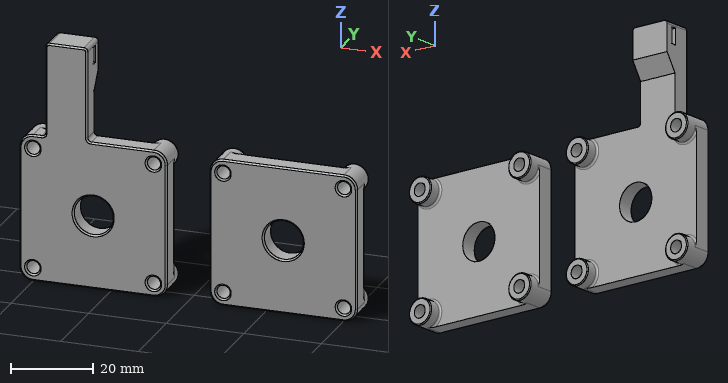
import cadquery as cq
import math

plate_side = 38.0
plate_thickness = 5.0
overall_length = 87
plate_pitch = overall_length - plate_side
front_chamfer = 0.4

post_diameter = 7
post_back = 8.5
post_chamfer = 0.3
foot_radius = 0.5
corner_radius = post_diameter / 2
post_offset = plate_side / 2 - corner_radius
post_places = [(x, z) for x in (-post_offset, post_offset) for z in (-post_offset, post_offset)]

screw_diameter = 3.4
bore_diameter = 10.0
hole_chamfer = 0.4

arm_width = 10.8
arm_center = 12.1 - plate_side / 2
arm_height = 24.3
arm_head_back = 8.0
head_height = 8.2
taper_height = 4.7
arm_radius = 1.0
selection_margin = 0.1
plate_top = plate_side / 2
arm_top = plate_top + arm_height

slot_width = 1.4
slot_height = 4.3
slot_center_y = 5.4
slot_drop = 1.4


def front_plane(y=0):
    """XZ workplane at the given Y; a negative extrusion runs towards +Y."""
    return cq.Workplane("XZ", origin=(0, y, 0))


def back_relief():
    """Cross-shaped cutter that leaves the corner posts, rounded where it meets the posts' feet."""
    outer = plate_side
    diagonal = post_offset - corner_radius * math.sqrt(0.5)
    cross = front_plane(plate_thickness).moveTo(-post_offset, outer)
    for turn in range(4):
        quarter = [
            (post_offset, outer),
            (post_offset, plate_side / 2),
            (diagonal, diagonal),
            (plate_side / 2, post_offset),
            (outer, post_offset),
        ]
        for _ in range(turn):
            quarter = [(z, -x) for x, z in quarter]
        end_corner, post_start, post_middle, post_end, next_corner = quarter
        cross = cross.lineTo(*end_corner).lineTo(*post_start)
        cross = cross.threePointArc(post_middle, post_end).lineTo(*next_corner)
    relief = cross.close().extrude(plate_thickness - 2 * post_back)
    return relief.faces("<Y").edges("%CIRCLE").fillet(foot_radius)


def plate_blank():
    """Rounded square plate with a post rising from each corner of its back face."""
    block = (
        front_plane()
        .rect(plate_side, plate_side)
        .extrude(-post_back)
        .edges("|Y")
        .fillet(corner_radius)
    )
    return block.cut(back_relief()).faces(">Y").chamfer(post_chamfer)


def arm_blank():
    """Arm with a thick head that tapers down to the plate's thickness."""
    taper_top = arm_top - head_height
    side_profile = [
        (0, 0),
        (0, arm_top),
        (arm_head_back, arm_top),
        (arm_head_back, taper_top),
        (plate_thickness, taper_top - taper_height),
        (plate_thickness, 0),
    ]
    return (
        cq.Workplane("YZ", origin=(arm_center - arm_width / 2, 0, 0))
        .polyline(side_profile)
        .close()
        .extrude(arm_width)
    )


def add_arm(plate):
    """Join the arm to a plate and round its top corners and its root."""
    joined = plate.union(arm_blank())
    reach = arm_width / 2 + selection_margin
    for height in (plate_top, arm_top):
        corner_zone = cq.selectors.BoxSelector(
            (arm_center - reach, -selection_margin, height - selection_margin),
            (arm_center + reach, post_back, height + selection_margin),
        )
        joined = joined.edges("|Y").edges(corner_zone).fillet(arm_radius)
    return joined


def cut_hole(body, diameter, x, z):
    """Through hole with a chamfered mouth on the front face."""
    radius = diameter / 2
    start = cq.Vector(x, 0, z)
    inward = cq.Vector(0, 1, 0)
    hole = cq.Solid.makeCylinder(radius, post_back, start, inward)
    mouth = cq.Solid.makeCone(radius + hole_chamfer, radius, hole_chamfer, start, inward)
    return body.cut(cq.Workplane(hole)).cut(cq.Workplane(mouth))


def finish_plate(blank):
    """Bevel a blank's front rim, then cut the centre bore and the screw holes."""
    body = blank.faces("<Y").edges().chamfer(front_chamfer)
    body = cut_hole(body, bore_diameter, 0, 0)
    for x, z in post_places:
        body = cut_hole(body, screw_diameter, x, z)
    return body


def cut_slot(body):
    """Slot right through the arm's head along X."""
    slot_center_z = arm_top - slot_drop - slot_height / 2
    slot = cq.Workplane("XY").box(arm_width, slot_width, slot_height)
    return body.cut(slot.translate((arm_center, slot_center_y, slot_center_z)))


arm_plate = cut_slot(finish_plate(add_arm(plate_blank())))
plain_plate = finish_plate(plate_blank()).translate((plate_pitch, 0, 0))

result = cq.Compound.makeCompound([arm_plate.solids().val(), plain_plate.solids().val()])